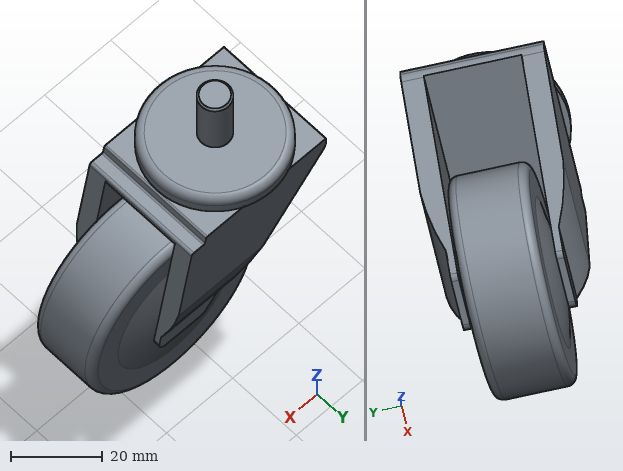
import cadquery as cq

overall_height = 81.0
wheel_axis_x = 21.05

wheel_diameter = 50.0
wheel_radius = wheel_diameter / 2
tread_width = 18.0
tread_fillet = 2.0
dome_radius = 16.9

disc_diameter = 35.0
disc_bottom = 60.4
disc_top = 65.0
disc_fillet = 2.0
stem_diameter = 8.0
stem_chamfer = 0.5

fork_rear_x = -18.2
fork_rear_corner_z = 57.5
fork_bottom = 20.65
fork_toe_rear_x = 15.5
fork_toe_front_x = 29.3
fork_front_top_x = 22.35
step_top_x = 18.0
step_foot_x = 18.5
step_z = 58.15
rear_fillet = 3.2
toe_fillet = 2.0
step_fillet = 0.8
rear_edge_fillet = 0.25
top_edge_fillet = 0.5

fork_width = 32.1
fork_gap = 21.9
toe_width = 25.3
plate_underside = 56.8
bend_top = 36.7
bend_bottom = 25.5
bend_radius = 32.4


def make_mount():
    """Swivel disc with its rounded top edge and the upright stem."""
    disc = (
        cq.Workplane("XY", origin=(0, 0, disc_bottom))
        .circle(disc_diameter / 2)
        .extrude(disc_top - disc_bottom)
        .faces(">Z").edges().fillet(disc_fillet)
    )
    stem = (
        cq.Workplane("XY", origin=(0, 0, disc_top))
        .circle(stem_diameter / 2)
        .extrude(overall_height - disc_top)
        .faces(">Z").edges().chamfer(stem_chamfer)
    )
    return disc.union(stem)


def round_corner(body, x, z, radius):
    """Fillet the edge that runs along Y through the point (x, z)."""
    reach = 0.1
    corner = cq.selectors.BoxSelector(
        (x - reach, -fork_width, z - reach), (x + reach, fork_width, z + reach)
    )
    return body.edges(corner).fillet(radius)


def make_fork_side_profile():
    """Side outline of the fork extruded over its full width, with rounded corners."""
    corners = [
        (fork_rear_x, disc_bottom, rear_edge_fillet),
        (step_top_x, disc_bottom, top_edge_fillet),
        (step_foot_x, step_z, top_edge_fillet),
        (fork_front_top_x, step_z, step_fillet),
        (fork_toe_front_x, fork_bottom, toe_fillet),
        (fork_toe_rear_x, fork_bottom, toe_fillet),
        (fork_rear_x, fork_rear_corner_z, rear_fillet),
    ]
    body = (
        cq.Workplane("XZ")
        .polyline([(x, z) for x, z, radius in corners])
        .close()
        .extrude(fork_width / 2, both=True)
    )
    for x, z, radius in corners:
        body = round_corner(body, x, z, radius)
    return body


def make_fork_cross_section():
    """Two legs joined by the top plate; each leg curves in to a thin tab."""
    outer = fork_width / 2
    toe = toe_width / 2
    inner = fork_gap / 2
    length = fork_toe_front_x - fork_rear_x
    return (
        cq.Workplane("YZ", origin=(fork_rear_x, 0, 0))
        .moveTo(outer, disc_bottom)
        .lineTo(outer, bend_top)
        .radiusArc((toe, bend_bottom), bend_radius)
        .lineTo(toe, fork_bottom)
        .lineTo(inner, fork_bottom)
        .lineTo(inner, plate_underside)
        .lineTo(-inner, plate_underside)
        .lineTo(-inner, fork_bottom)
        .lineTo(-toe, fork_bottom)
        .lineTo(-toe, bend_bottom)
        .radiusArc((-outer, bend_top), bend_radius)
        .lineTo(-outer, disc_bottom)
        .close()
        .extrude(length)
    )


def make_fork():
    return make_fork_side_profile().intersect(make_fork_cross_section())


def make_wheel():
    """Revolved wheel; its domed hub sides just reach the fork legs."""
    half_width = tread_width / 2
    crown = fork_gap / 2
    dome_height = crown - half_width
    sphere_radius = (dome_radius**2 + dome_height**2) / (2 * dome_height)
    shoulder = wheel_radius - tread_fillet
    fillet_start = half_width - tread_fillet
    return (
        cq.Workplane("XY", origin=(wheel_axis_x, 0, wheel_radius))
        .moveTo(0, -crown)
        .radiusArc((dome_radius, -half_width), -sphere_radius)
        .lineTo(shoulder, -half_width)
        .radiusArc((wheel_radius, -fillet_start), -tread_fillet)
        .lineTo(wheel_radius, fillet_start)
        .radiusArc((shoulder, half_width), -tread_fillet)
        .lineTo(dome_radius, half_width)
        .radiusArc((0, crown), -sphere_radius)
        .close()
        .revolve(360, (0, 0, 0), (0, 1, 0))
    )


mount = make_mount()
fork = make_fork()
wheel = make_wheel()

result = cq.Compound.makeCompound([mount.solids().val(), fork.solids().val(), wheel.solids().val()])